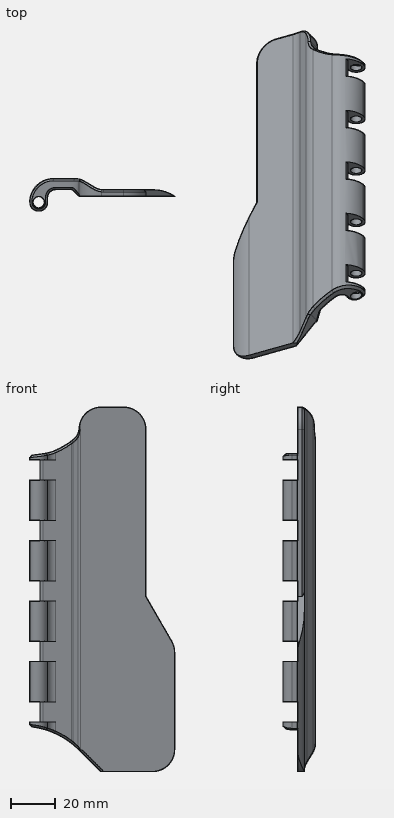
import cadquery as cq
import math

WIDTH = 64.76
HEIGHT = 162.83

PLATE_THICK = 3.0
WALL_BACK_Y = 8.0
WALL_FRONT_Y = 3.0

BARREL_R = 4.0
BARREL_Y = -2.59
PIN_DIA = 5.0
HOOK_START_Y = -1.5
HOOK_R = 10.8
FLARE_R = 3.5

BACK_BEND_START_X = 22.5
BACK_BEND_END_X = 30.8
BACK_BEND_R = 8.0
FRONT_BEND_START_X = 19.0
FRONT_BEND_END_X = 22.0
FRONT_BEND_START_R = 1.0
FRONT_BEND_END_R = 1.5
TAPER_LENGTH = 9.5

CORNER_R = 10.0
UPPER_RIGHT_X = 51.9
STEP_TOP_Z = 78.2
STEP_ANGLE = 60.0
PLATE_LEFT_X = 22.0
SHOULDER_Z = HEIGHT - CORNER_R
UPPER_SWEEP_MID = (18.6, HEIGHT - 15.2)
UPPER_SWEEP_OUTER = (12.0, HEIGHT - 19.1)
UPPER_SWEEP_END = (0, HEIGHT - 21.6)
UPPER_SWEEP_LEAN = 0.1
UPPER_SWEEP_END_SLOPE = 0.12
DIAGONAL_END_X = 31.7
DIAGONAL_TOP_Z = DIAGONAL_END_X - PLATE_LEFT_X
LOWER_SWEEP_R = 36.0

LOWEST_GAP_Z = 22.2
GAP_HEIGHT = 9.0
KNUCKLE_PITCH = 27.0
GAP_COUNT = 5
GAP_EDGE_X = 4.5
GAP_EDGE_R = 1.5

EDGE_CHAMFER = 1.0
MARGIN = 20.0
TOLERANCE = 0.01
DIAGONAL_45 = math.sqrt(0.5)


def fillet_vertical(body, x, y, radius):
    """Round the Z-parallel edge that runs nearest to (x, y)."""
    nearest = cq.selectors.NearestToPointSelector((x, y, HEIGHT / 2))
    return body.edges("|Z").edges(nearest).fillet(radius)


def edges_within(x_range, y_range, z_range):
    """Selector for edges that lie wholly inside a box."""
    low, high = zip(x_range, y_range, z_range)
    return cq.selectors.BoxSelector(low, high, boundingbox=True)


def section_bar():
    """Hook, wall, bend and tapered plate in the XY plane, extruded over the full height."""
    hook_centre_y = WALL_BACK_Y - HOOK_R
    hook_start = math.asin((HOOK_START_Y - hook_centre_y) / HOOK_R)
    hook_centre_x = HOOK_R * math.cos(hook_start)
    hook_middle = (hook_start + math.pi / 2) / 2
    hook_mid_point = (
        hook_centre_x - HOOK_R * math.cos(hook_middle),
        hook_centre_y + HOOK_R * math.sin(hook_middle),
    )

    taper_x = WIDTH - TAPER_LENGTH
    taper_r = (TAPER_LENGTH**2 + PLATE_THICK**2) / (2 * PLATE_THICK)
    taper_middle = math.asin(TAPER_LENGTH / taper_r) / 2
    taper_mid_point = (
        taper_x + taper_r * math.sin(taper_middle),
        PLATE_THICK - taper_r * (1 - math.cos(taper_middle)),
    )

    flare_x = 2 * BARREL_R + FLARE_R
    flare_y = WALL_FRONT_Y - FLARE_R
    flare_mid_point = (flare_x - FLARE_R * DIAGONAL_45, flare_y + FLARE_R * DIAGONAL_45)

    bar = (
        cq.Workplane("XY")
        .moveTo(0, BARREL_Y)
        .lineTo(0, HOOK_START_Y)
        .threePointArc(hook_mid_point, (hook_centre_x, WALL_BACK_Y))
        .lineTo(BACK_BEND_START_X, WALL_BACK_Y)
        .lineTo(BACK_BEND_END_X, PLATE_THICK)
        .lineTo(taper_x, PLATE_THICK)
        .threePointArc(taper_mid_point, (WIDTH, 0))
        .lineTo(FRONT_BEND_END_X, 0)
        .lineTo(FRONT_BEND_START_X, WALL_FRONT_Y)
        .lineTo(flare_x, WALL_FRONT_Y)
        .threePointArc(flare_mid_point, (2 * BARREL_R, flare_y))
        .lineTo(2 * BARREL_R, BARREL_Y)
        .threePointArc((BARREL_R, BARREL_Y - BARREL_R), (0, BARREL_Y))
        .close()
        .extrude(HEIGHT)
    )
    bar = fillet_vertical(bar, BACK_BEND_START_X, WALL_BACK_Y, BACK_BEND_R)
    bar = fillet_vertical(bar, BACK_BEND_END_X, PLATE_THICK, BACK_BEND_R)
    return fillet_vertical(bar, FRONT_BEND_START_X, WALL_FRONT_Y, FRONT_BEND_START_R)


def outline_prism():
    """Outline of the part in the XZ plane, extruded through its whole depth."""
    corner_inset = CORNER_R * (1 - DIAGONAL_45)
    step_run = WIDTH - UPPER_RIGHT_X
    step_bottom_z = STEP_TOP_Z - step_run * math.tan(math.radians(STEP_ANGLE))

    sweep_centre_x = PLATE_LEFT_X - LOWER_SWEEP_R * DIAGONAL_45
    sweep_centre_z = DIAGONAL_TOP_Z - LOWER_SWEEP_R * DIAGONAL_45
    sweep_start = math.asin(-sweep_centre_x / LOWER_SWEEP_R)
    sweep_middle = (sweep_start + math.pi / 4) / 2
    sweep_start_z = sweep_centre_z + LOWER_SWEEP_R * math.cos(sweep_start)
    sweep_mid_point = (
        sweep_centre_x + LOWER_SWEEP_R * math.sin(sweep_middle),
        sweep_centre_z + LOWER_SWEEP_R * math.cos(sweep_middle),
    )

    prism = (
        cq.Workplane("XZ", origin=(0, MARGIN, 0))
        .moveTo(DIAGONAL_END_X, 0)
        .lineTo(WIDTH - CORNER_R, 0)
        .threePointArc((WIDTH - corner_inset, corner_inset), (WIDTH, CORNER_R))
        .lineTo(WIDTH, step_bottom_z)
        .lineTo(UPPER_RIGHT_X, STEP_TOP_Z)
        .lineTo(UPPER_RIGHT_X, SHOULDER_Z)
        .threePointArc(
            (UPPER_RIGHT_X - corner_inset, HEIGHT - corner_inset),
            (UPPER_RIGHT_X - CORNER_R, HEIGHT),
        )
        .lineTo(PLATE_LEFT_X + CORNER_R, HEIGHT)
        .threePointArc(
            (PLATE_LEFT_X + corner_inset, HEIGHT - corner_inset),
            (PLATE_LEFT_X, SHOULDER_Z),
        )
        .spline(
            [UPPER_SWEEP_MID, UPPER_SWEEP_OUTER, UPPER_SWEEP_END],
            tangents=[(-UPPER_SWEEP_LEAN, -1), (-1, -UPPER_SWEEP_END_SLOPE)],
            includeCurrent=True,
        )
        .lineTo(-MARGIN, UPPER_SWEEP_END[1])
        .lineTo(-MARGIN, sweep_start_z)
        .lineTo(0, sweep_start_z)
        .threePointArc(sweep_mid_point, (PLATE_LEFT_X, DIAGONAL_TOP_Z))
        .close()
        .extrude(2 * MARGIN)
    )
    step_corner = cq.selectors.NearestToPointSelector((WIDTH, 0, step_bottom_z))
    return prism.edges("|Y").edges(step_corner).fillet(CORNER_R)


def band(body, bottom_z, top_z):
    """The part of the body between two heights."""
    slab = (
        cq.Workplane("XY", origin=(0, 0, bottom_z))
        .rect(4 * WIDTH, 4 * MARGIN)
        .extrude(top_z - bottom_z)
    )
    return body.intersect(slab)


def chamfered_shell():
    """Trimmed section with its rims chamfered.

    The chamfers change from band to band, so each band is chamfered alone and the bands are rejoined.
    """
    shell = section_bar().intersect(outline_prism())
    depth = (-MARGIN, MARGIN)
    behind_plate = (PLATE_THICK - TOLERANCE, MARGIN)
    along_y = cq.selectors.ParallelDirSelector(cq.Vector(0, 1, 0))

    top_band = band(shell, SHOULDER_Z, HEIGHT)
    rim = edges_within((0, WIDTH), behind_plate, (SHOULDER_Z, HEIGHT + TOLERANCE))
    cut_face = edges_within((0, WIDTH), depth, (SHOULDER_Z - TOLERANCE, SHOULDER_Z + TOLERANCE))
    top_band = top_band.edges(rim - cut_face - along_y).chamfer(EDGE_CHAMFER)

    middle_band = band(shell, DIAGONAL_TOP_Z, SHOULDER_Z)
    wall_x = (-TOLERANCE, PLATE_LEFT_X + TOLERANCE)
    half_height = HEIGHT / 2
    upper_rim = edges_within(wall_x, depth, (half_height, SHOULDER_Z - TOLERANCE))
    lower_rim = edges_within(wall_x, depth, (DIAGONAL_TOP_Z + TOLERANCE, half_height))
    straight_edge = edges_within(
        (UPPER_RIGHT_X - TOLERANCE, UPPER_RIGHT_X + TOLERANCE),
        behind_plate,
        (STEP_TOP_Z - TOLERANCE, HEIGHT),
    )
    for edges in (upper_rim - along_y, lower_rim - along_y, straight_edge - along_y):
        middle_band = middle_band.edges(edges).chamfer(EDGE_CHAMFER)

    bottom_band = band(shell, 0, DIAGONAL_TOP_Z)
    diagonal_rim = edges_within((0, DIAGONAL_END_X + TOLERANCE), depth, (-TOLERANCE, HEIGHT))
    bottom_face = edges_within((0, WIDTH), depth, (-TOLERANCE, TOLERANCE))
    cut_face = edges_within((0, WIDTH), depth, (DIAGONAL_TOP_Z - TOLERANCE, HEIGHT))
    bottom_band = bottom_band.edges(diagonal_rim - bottom_face - cut_face - along_y).chamfer(EDGE_CHAMFER)

    joined = bottom_band.union(middle_band).union(top_band)
    return fillet_vertical(joined, FRONT_BEND_END_X, 0, FRONT_BEND_END_R)


def knuckle_gap():
    """Tool that removes the barrel and hook over one gap, leaving a rounded wall edge."""
    flare_end_x = 2 * BARREL_R + FLARE_R
    edge_inset = GAP_EDGE_R * (1 - DIAGONAL_45)
    return (
        cq.Workplane("XY")
        .moveTo(-MARGIN, MARGIN)
        .lineTo(GAP_EDGE_X, MARGIN)
        .lineTo(GAP_EDGE_X, WALL_FRONT_Y + GAP_EDGE_R)
        .threePointArc(
            (GAP_EDGE_X + edge_inset, WALL_FRONT_Y + edge_inset),
            (GAP_EDGE_X + GAP_EDGE_R, WALL_FRONT_Y),
        )
        .lineTo(flare_end_x, WALL_FRONT_Y)
        .lineTo(flare_end_x, -MARGIN)
        .lineTo(-MARGIN, -MARGIN)
        .close()
        .extrude(GAP_HEIGHT)
    )


def pin_hole():
    return cq.Workplane("XY").center(BARREL_R, BARREL_Y).circle(PIN_DIA / 2).extrude(HEIGHT)


result = chamfered_shell()
for index in range(GAP_COUNT):
    gap_z = LOWEST_GAP_Z + index * KNUCKLE_PITCH
    result = result.cut(knuckle_gap().translate((0, 0, gap_z)))
result = result.cut(pin_hole())